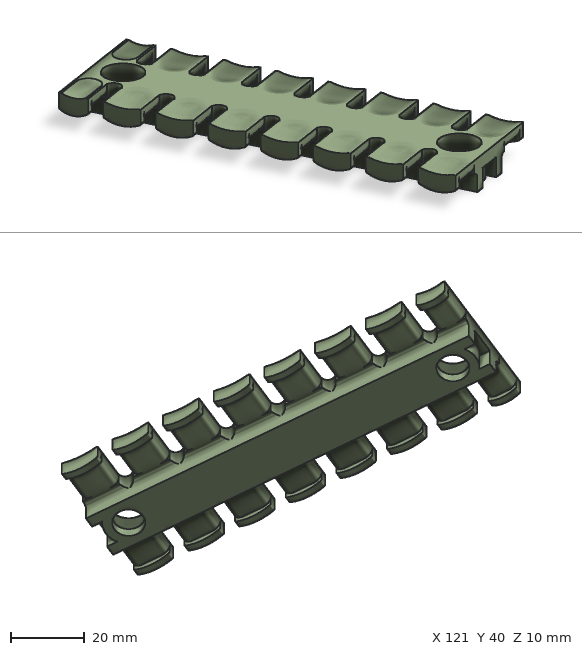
import cadquery as cq
import math

LENGTH = 121.0
WIDTH = 40.0
HEIGHT = 10.0
PLATE_THICKNESS = 4.1

SPINE_WIDTH = 14.4
SPINE_FILLET = 1.7

FINGER_COUNT = 8
FIRST_FINGER_WIDTH = 9.0
FINGER_WIDTH = 11.4
PITCH = (LENGTH - FIRST_FINGER_WIDTH) / (FINGER_COUNT - 1)
SLOT_WIDTH = PITCH - FINGER_WIDTH
SLOT_DEPTH = (WIDTH - SPINE_WIDTH) / 2
FINGER_EDGE_ROUND = 2.7

HOOK_LENGTH = 2.0
HOOK_DEPTH = 6.0
HOOK_SAGITTA = 1.5
HOOK_CORNER_ROUND = 0.7

SEAT_MARGIN = 0.7
SEAT_SAGITTA = 0.7
SEAT_STRAIGHT = 8.8

HOLE_DIAMETER = 9.0
COUNTERBORE_DIAMETER = 12.1
COUNTERBORE_DEPTH = 7.0
LEFT_HOLE_INSET = 9.3
HOLE_SPACING = 102.5
BOSS_DIAMETER = SPINE_WIDTH
POCKET_WIDTH = 7.9

LEFT_END = -LENGTH / 2
RIGHT_END = LENGTH / 2
LEFT_HOLE_X = LEFT_END + LEFT_HOLE_INSET
RIGHT_HOLE_X = LEFT_HOLE_X + HOLE_SPACING
EDGE_Y = WIDTH / 2


def finger_spans():
    """Return (middle X, width) of every finger, from -X to +X."""
    spans = [(LEFT_END + FIRST_FINGER_WIDTH / 2, FIRST_FINGER_WIDTH)]
    first_full = LEFT_END + FIRST_FINGER_WIDTH + SLOT_WIDTH + FINGER_WIDTH / 2
    for index in range(FINGER_COUNT - 1):
        spans.append((first_full + index * PITCH, FINGER_WIDTH))
    return spans


def make_spine():
    """Spine and the thin roof over it, with concave fillets running out to the slot ends."""
    half = SPINE_WIDTH / 2
    flare = half + SPINE_FILLET
    drop = SPINE_FILLET * (1 - math.sqrt(0.5))
    fillet_end = -PLATE_THICKNESS - SPINE_FILLET
    profile = (
        cq.Workplane("YZ", origin=(LEFT_END, 0, 0))
        .moveTo(-flare, 0)
        .lineTo(flare, 0)
        .lineTo(flare, -PLATE_THICKNESS)
        .threePointArc((half + drop, -PLATE_THICKNESS - drop), (half, fillet_end))
        .lineTo(half, -HEIGHT)
        .lineTo(-half, -HEIGHT)
        .lineTo(-half, fillet_end)
        .threePointArc((-half - drop, -PLATE_THICKNESS - drop), (-flare, -PLATE_THICKNESS))
        .close()
    )
    return profile.extrude(LENGTH)


def make_finger(middle, width):
    """Bar across the plate forming two opposite fingers, with rounded lower edges."""
    bar = (
        cq.Workplane("XY")
        .box(width, WIDTH, PLATE_THICKNESS, centered=(True, True, False))
        .edges("|Y and <Z")
        .fillet(FINGER_EDGE_ROUND)
    )
    return bar.translate((middle, 0, -PLATE_THICKNESS))


def make_hook(middle, width, side):
    """Hook under one finger tip, with a bowed lower edge and rounded corners."""
    half = width / 2
    corner = HOOK_SAGITTA - HOOK_DEPTH
    hook = (
        cq.Workplane("XZ")
        .moveTo(-half, 0)
        .lineTo(-half, corner)
        .threePointArc((0, -HOOK_DEPTH), (half, corner))
        .lineTo(half, 0)
        .close()
        .extrude(HOOK_LENGTH)
        .edges("|Y")
        .edges("<Z")
        .fillet(HOOK_CORNER_ROUND)
    )
    far_y = EDGE_Y if side > 0 else HOOK_LENGTH - EDGE_Y
    return hook.translate((middle, far_y, 0))


def make_slot(middle, side):
    """Round-ended gap between two neighbouring fingers."""
    centre_y = EDGE_Y - SLOT_DEPTH / 2
    overrun = SLOT_WIDTH
    return (
        cq.Workplane("XY", origin=(middle, side * (centre_y + overrun / 2), -HEIGHT))
        .slot2D(SLOT_DEPTH + overrun, SLOT_WIDTH, 90)
        .extrude(HEIGHT)
    )


def make_seat(middle, width, side):
    """Shallow cylindrical trough from the finger tip, closed inside by a spherical end."""
    half = width / 2 - SEAT_MARGIN
    radius = (half**2 + SEAT_SAGITTA**2) / (2 * SEAT_SAGITTA)
    axis_z = radius - SEAT_SAGITTA
    inner_y = side * (EDGE_Y - SEAT_STRAIGHT)
    centre = (middle, inner_y, axis_z)
    trough = cq.Workplane("XZ", origin=centre).circle(radius).extrude(-side * SEAT_STRAIGHT)
    ball = cq.Workplane("XY", origin=centre).sphere(radius)
    return trough.union(ball)


def make_end_pocket(end_x, hole_x):
    """Pocket in one end of the spine, reaching the round boss left standing around the hole."""
    depth = abs(hole_x - end_x)
    blank = (
        cq.Workplane("XY", origin=((end_x + hole_x) / 2, 0, -HEIGHT))
        .rect(depth, POCKET_WIDTH)
        .extrude(HEIGHT - PLATE_THICKNESS)
    )
    boss = cq.Workplane("XY", origin=(hole_x, 0, -HEIGHT)).circle(BOSS_DIAMETER / 2).extrude(HEIGHT)
    return blank.cut(boss)


def make_screw_hole(hole_x):
    """Counterbored hole through the spine, open at the top face."""
    hole = cq.Workplane("XY", origin=(hole_x, 0, -HEIGHT)).circle(HOLE_DIAMETER / 2).extrude(HEIGHT)
    counterbore = (
        cq.Workplane("XY", origin=(hole_x, 0, -COUNTERBORE_DEPTH))
        .circle(COUNTERBORE_DIAMETER / 2)
        .extrude(COUNTERBORE_DEPTH)
    )
    return hole.union(counterbore)


added = []
for middle, width in finger_spans():
    added.append(make_finger(middle, width))
    for side in (-1, 1):
        added.append(make_hook(middle, width, side))
body = make_spine().val().fuse(*[piece.val() for piece in added]).clean()

removed = []
for middle, width in finger_spans()[:-1]:
    for side in (-1, 1):
        removed.append(make_slot(middle + (width + SLOT_WIDTH) / 2, side))
for middle, width in finger_spans():
    for side in (-1, 1):
        removed.append(make_seat(middle, width, side))
for end_x, hole_x in ((LEFT_END, LEFT_HOLE_X), (RIGHT_END, RIGHT_HOLE_X)):
    removed.append(make_end_pocket(end_x, hole_x))
    removed.append(make_screw_hole(hole_x))

result = cq.Workplane("XY").add(body)
for piece in removed:
    result = result.cut(piece, clean=False)
result = result.clean().solids()